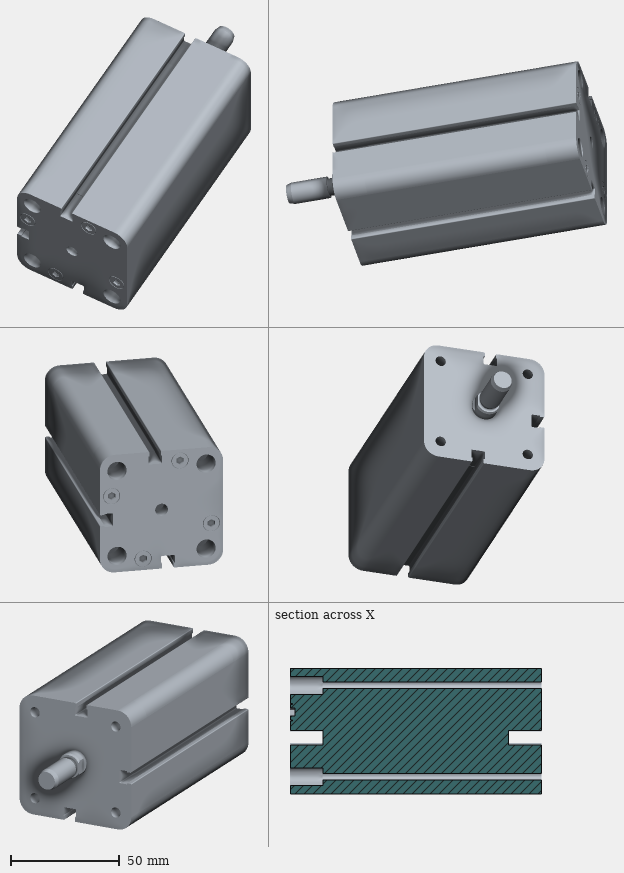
import cadquery as cq
import math

overall_length = 144.0
body_width = 58.1
half_width = body_width / 2
cap_length = 15.0
corner_radius = 7.0

rod_diameter = 12.0
thread_diameter = 10.0
thread_tip_diameter = 8.57
relief_diameter = 8.0
rod_extension = 28.4
shoulder_length = 6.4
relief_length = 2.6
tip_chamfer_length = 2.5
shoulder_end_diameter = 11.1
shoulder_chamfer_length = 1.2
wrench_flat_width = 10.0
wrench_flat_start = 1.7

body_length = overall_length - rod_extension
rear_face = -overall_length / 2
front_face = rear_face + body_length
rod_tip = front_face + rod_extension
front_cap_start = body_length - cap_length

slot_offset = 3.0
slot_opening = 5.4
slot_inner_width = 6.5
slot_lip = 2.2
slot_edge_radius = 0.4
tube_slot_depth = 6.0
cap_slot_depth = 6.2
slot_angles = (0, 90, 180)

mount_spacing = 42.0
mount_hole_diameter = 4.92
mount_bore_diameter = 9.0
mount_bore_depth = 15.0

screw_across = 8.7
screw_along = 23.5
screw_pocket_diameter = 8.0
screw_head_diameter = 7.5
screw_gap_depth = 1.0
hex_across_flats = 3.5
hex_depth = 2.0
centre_hole_diameter = 6.0
centre_hole_depth = 8.0


def rear_plane():
    """Sketch plane on the rear face: local x is X, local y is Z, extrusion runs to -Y."""
    return cq.Workplane("XZ", origin=(0, rear_face, 0))


def turned(shape, angle):
    """Turn a shape about the rod axis, counter-clockwise as seen from -Y."""
    return shape.rotate((0, 0, 0), (0, -1, 0), angle)


def make_slot(floor_depth, length):
    """T-slot cutter for the +Z side from the rear face on, with rounded mouth edges and floor corners."""
    floor = half_width - floor_depth
    lip = half_width - slot_lip
    half_opening = slot_opening / 2
    half_inner = slot_inner_width / 2
    return (
        rear_plane()
        .center(-slot_offset, 0)
        .moveTo(0, floor)
        .lineTo(half_inner - slot_edge_radius, floor)
        .radiusArc((half_inner, floor + slot_edge_radius), -slot_edge_radius)
        .lineTo(half_inner, lip)
        .lineTo(half_opening, lip)
        .lineTo(half_opening, half_width - slot_edge_radius)
        .radiusArc((half_opening + slot_edge_radius, half_width), slot_edge_radius)
        .lineTo(0, half_width)
        .mirrorY()
        .extrude(-length)
    )


def make_section(length):
    """Rounded square length of body, starting at the rear face."""
    section = rear_plane().rect(body_width, body_width).extrude(-length)
    return section.edges("|Y").fillet(corner_radius)


def make_body():
    """Tube between two end caps of the same outline, keeping the seams between them."""
    rear_cap = make_section(cap_length)
    tube = make_section(front_cap_start - cap_length).translate((0, cap_length, 0))
    front_cap = rear_cap.translate((0, front_cap_start, 0))
    return rear_cap.union(tube, clean=False).union(front_cap, clean=False)


def make_slots():
    """T-slots along the whole body, with slightly deeper floors in the two caps."""
    cap_slot = make_slot(cap_slot_depth, cap_length)
    slot = (
        make_slot(tube_slot_depth, body_length)
        .union(cap_slot)
        .union(cap_slot.translate((0, front_cap_start, 0)))
    )
    slots = turned(slot, slot_angles[0])
    for angle in slot_angles[1:]:
        slots = slots.union(turned(slot, angle))
    return slots


def make_mount_holes():
    holes = (
        rear_plane()
        .rect(mount_spacing, mount_spacing, forConstruction=True)
        .vertices()
        .circle(mount_hole_diameter / 2)
        .extrude(-body_length)
    )
    bores = (
        rear_plane()
        .rect(mount_spacing, mount_spacing, forConstruction=True)
        .vertices()
        .circle(mount_bore_diameter / 2)
        .extrude(-mount_bore_depth)
    )
    return holes.union(bores)


def screw_centres():
    """Four screw positions (X, Z), each a quarter turn from the last."""
    return [
        (screw_across, screw_along),
        (-screw_along, screw_across),
        (-screw_across, -screw_along),
        (screw_along, -screw_across),
    ]


def make_screw_recesses():
    """Ring gaps around the screw heads, plus hexagon sockets with a corner pointing up."""
    gaps = (
        rear_plane()
        .pushPoints(screw_centres())
        .circle(screw_pocket_diameter / 2)
        .circle(screw_head_diameter / 2)
        .extrude(-screw_gap_depth)
    )
    corner_distance = hex_across_flats / 2 / math.cos(math.pi / 6)
    corner_angles = [math.radians(30 + 60 * corner) for corner in range(6)]
    hexagon = [(corner_distance * math.cos(a), corner_distance * math.sin(a)) for a in corner_angles]
    socket = rear_plane().polyline(hexagon).close().extrude(-hex_depth)
    for x, z in screw_centres():
        gaps = gaps.union(socket.translate((x, 0, z)))
    return gaps


def make_centre_hole():
    return rear_plane().circle(centre_hole_diameter / 2).extrude(-centre_hole_depth)


def make_rod():
    shoulder_end = front_face + shoulder_length
    relief_end = shoulder_end + relief_length
    profile = [
        (0, front_face),
        (rod_diameter / 2, front_face),
        (rod_diameter / 2, shoulder_end - shoulder_chamfer_length),
        (shoulder_end_diameter / 2, shoulder_end),
        (relief_diameter / 2, shoulder_end),
        (relief_diameter / 2, relief_end),
        (thread_diameter / 2, relief_end),
        (thread_diameter / 2, rod_tip - tip_chamfer_length),
        (thread_tip_diameter / 2, rod_tip),
        (0, rod_tip),
    ]
    rod = cq.Workplane("XY").polyline(profile).close().revolve(360, (0, 0, 0), (0, 1, 0))
    flat_start = front_face + wrench_flat_start
    flat_depth = (rod_diameter - wrench_flat_width) / 2
    flat = (
        cq.Workplane("XY")
        .moveTo(wrench_flat_width / 2, flat_start)
        .lineTo(wrench_flat_width / 2, shoulder_end)
        .lineTo(rod_diameter / 2, shoulder_end)
        .lineTo(rod_diameter / 2, flat_start - flat_depth)
        .close()
        .extrude(rod_diameter / 2, both=True)
    )
    return rod.cut(flat).cut(flat.mirror("YZ"))


body = make_body()
for cutter in (make_slots(), make_mount_holes(), make_screw_recesses(), make_centre_hole()):
    body = body.cut(cutter, clean=False)
result = body.union(make_rod(), clean=False)